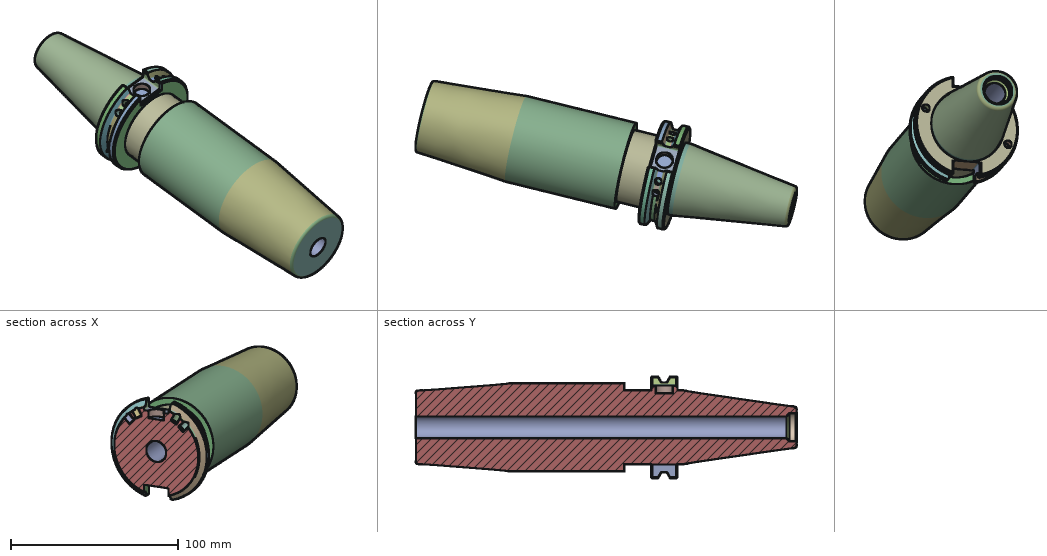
import cadquery as cq
import math

small_end = -68.25
flange_start = 3.2
flange_width = 15.85
flange_end = flange_start + flange_width
neck_end = 35.0
nose_end = 160.0

gauge_radius = 44.45 / 2
taper_slope = 7 / 48
small_end_radius = gauge_radius + small_end * taper_slope
small_end_fillet = 2.0
neck_radius = gauge_radius

body_radius = 53.0 / 2
nose_radius = 44.0 / 2
nose_angle = 4.5
nose_cone_start = nose_end - (body_radius - nose_radius) / math.tan(math.radians(nose_angle))
nose_fillet = 1.6

flange_radius = 63.55 / 2
flange_chamfer = 0.8
groove_radius = 56.25 / 2
groove_center = 11.25
groove_floor_width = 3.4
groove_flank_angle = 30.0
groove_fillet = 0.6
groove_floor_half = groove_floor_width / 2
groove_flank_run = (flange_radius - groove_radius) * math.tan(math.radians(groove_flank_angle))
groove_mouth_half = groove_floor_half + groove_flank_run

slot_width = 16.1
slot_corner_radius = 0.7
slot_face_bevel = 1.0
slot_rim_bevel = 0.8
slot_overshoot = 1.0
slot_floor_top = 25.0
slot_floor_bottom = 22.3

chip_center = 11.1
chip_diameter = 10.0
chip_depth = 4.6

face_hole_diameter = 4.5
face_hole_radius = 27.0
face_hole_depth = 6.0
face_hole_angles = (20.0, 200.0)
point_angle = 118.0

groove_hole_diameter = 4.0
groove_hole_depth = 5.0
groove_hole_angles = (-45.0, -30.0, 30.0, 45.0)

bore_mouth_radius = 9.0
counterbore_radius = 8.3
counterbore_depth = 4.5
bore_cone_length = 1.7
bore_radius = 6.45


def revolve_about_x(profile):
    return profile.close().revolve(360, (0, 0, 0), (1, 0, 0))


def make_shank():
    return (
        revolve_about_x(
            cq.Workplane("XY")
            .moveTo(small_end, 0)
            .lineTo(small_end, small_end_radius)
            .lineTo(0, gauge_radius)
            .lineTo(flange_start, gauge_radius)
            .lineTo(flange_start, 0)
        )
        .faces("<X")
        .edges()
        .fillet(small_end_fillet)
    )


def make_flange():
    rim = flange_radius - flange_chamfer
    disc = revolve_about_x(
        cq.Workplane("XY")
        .moveTo(flange_start, 0)
        .lineTo(flange_start, rim)
        .lineTo(flange_start + flange_chamfer, flange_radius)
        .lineTo(groove_center - groove_mouth_half, flange_radius)
        .lineTo(groove_center - groove_floor_half, groove_radius)
        .lineTo(groove_center + groove_floor_half, groove_radius)
        .lineTo(groove_center + groove_mouth_half, flange_radius)
        .lineTo(flange_end - flange_chamfer, flange_radius)
        .lineTo(flange_end, rim)
        .lineTo(flange_end, 0)
    )
    groove_floor = cq.selectors.BoxSelector(
        (groove_center - groove_floor_width, -1, -1), (groove_center + groove_floor_width, 1, 1)
    )
    return disc.edges(groove_floor).fillet(groove_fillet)


def make_chuck():
    return (
        revolve_about_x(
            cq.Workplane("XY")
            .moveTo(flange_end, 0)
            .lineTo(flange_end, neck_radius)
            .lineTo(neck_end, neck_radius)
            .lineTo(neck_end, body_radius)
            .lineTo(nose_cone_start, body_radius)
            .lineTo(nose_end, nose_radius)
            .lineTo(nose_end, 0)
        )
        .faces(">X")
        .edges()
        .fillet(nose_fillet)
    )


def slot_wire(section, half, floor, side):
    """Round-cornered slot outline on a YZ workplane, reaching from the slot floor out past the rim."""
    bottom = side * floor
    corner_top = side * (floor + slot_corner_radius)
    top = side * (flange_radius + slot_overshoot)
    return (
        section.moveTo(-half, top)
        .lineTo(-half, corner_top)
        .tangentArcPoint((-half + slot_corner_radius, bottom), relative=False)
        .lineTo(half - slot_corner_radius, bottom)
        .tangentArcPoint((half, corner_top), relative=False)
        .lineTo(half, top)
        .close()
    )


def make_face_bevel(face_x, inward, side, floor, floor_bevel):
    """Flared slot mouth at one flange face; inward is +1 or -1, pointing along X into the flange."""
    wall = slot_width / 2
    face = cq.Workplane("YZ", origin=(face_x, 0, 0))
    mouth = slot_wire(face, wall + slot_face_bevel, floor - floor_bevel, side)
    throat = mouth.workplane(offset=inward * slot_face_bevel)
    return slot_wire(throat, wall, floor, side).loft(ruled=True)


def make_slot(side, floor, floor_bevel):
    """Drive slot with bevelled edges; side is +1 for the +Z slot and -1 for the -Z slot."""
    wall = slot_width / 2
    front = cq.Workplane("YZ", origin=(flange_start, 0, 0))
    slot = slot_wire(front, wall, floor, side).extrude(flange_width)

    rim_half = wall + slot_rim_bevel
    rim_z = math.sqrt(flange_radius**2 - rim_half**2)
    outer_half = rim_half + slot_overshoot
    outer_z = side * (rim_z + slot_overshoot)
    wall_z = side * (rim_z - slot_rim_bevel)
    rim_bevel = (
        front.polyline([(-wall, wall_z), (wall, wall_z), (outer_half, outer_z), (-outer_half, outer_z)])
        .close()
        .extrude(flange_width)
    )

    slot = slot.union(rim_bevel)
    slot = slot.union(make_face_bevel(flange_start, 1, side, floor, floor_bevel))
    return slot.union(make_face_bevel(flange_end, -1, side, floor, floor_bevel))


def make_chip_pocket():
    pocket_floor = cq.Workplane("XY", origin=(chip_center, 0, slot_floor_top - chip_depth))
    return pocket_floor.circle(chip_diameter / 2).extrude(chip_depth)


def make_face_hole(angle):
    y = face_hole_radius * math.cos(math.radians(angle))
    z = face_hole_radius * math.sin(math.radians(angle))
    radius = face_hole_diameter / 2
    point_length = radius / math.tan(math.radians(point_angle / 2))
    drill = revolve_about_x(
        cq.Workplane("XY")
        .moveTo(flange_start, 0)
        .lineTo(flange_start, radius)
        .lineTo(flange_start + face_hole_depth, radius)
        .lineTo(flange_start + face_hole_depth + point_length, 0)
    )
    return drill.translate((0, y, z))


def make_groove_hole(angle):
    bottom = groove_radius - groove_hole_depth
    return (
        cq.Workplane("XY", origin=(groove_center, 0, bottom))
        .circle(groove_hole_diameter / 2)
        .extrude(flange_radius - bottom)
        .rotate((0, 0, 0), (1, 0, 0), -angle)
    )


def make_bore():
    return revolve_about_x(
        cq.Workplane("XY")
        .moveTo(small_end, 0)
        .lineTo(small_end, bore_mouth_radius)
        .lineTo(small_end + bore_mouth_radius - counterbore_radius, counterbore_radius)
        .lineTo(small_end + counterbore_depth, counterbore_radius)
        .lineTo(small_end + counterbore_depth + bore_cone_length, bore_radius)
        .lineTo(nose_end, bore_radius)
        .lineTo(nose_end, 0)
    )


flange = make_flange()
flange = flange.cut(make_slot(1, slot_floor_top, slot_face_bevel))
flange = flange.cut(make_slot(-1, slot_floor_bottom, 0))
result = flange.union(make_shank()).union(make_chuck())
result = result.cut(make_chip_pocket())
for angle in face_hole_angles:
    result = result.cut(make_face_hole(angle))
for angle in groove_hole_angles:
    result = result.cut(make_groove_hole(angle))
result = result.cut(make_bore())